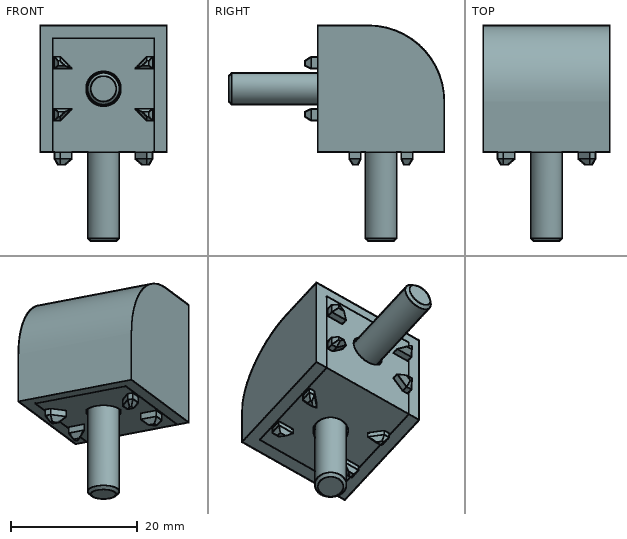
import cadquery as cq


side = 20.0
corner_radius = 12.0
wall = 2.0
face_center = side / 2

overall_length = 34.0
screw_diameter = 5.0
screw_tip_diameter = 4.0
screw_hole_diameter = 5.5
screw_projection = overall_length - side
screw_seat_depth = wall
screw_chamfer = (screw_diameter - screw_tip_diameter) / 2

peg_outer_x = 7.75
peg_near_y = 3.15
peg_far_y = 5.03
peg_long_edge = 2.8
peg_short_edge = 0.95
peg_length = 2.0
peg_straight_length = 1.02
tip_side_inset = 0.6
tip_near_inset = 0.48
tip_far_inset = 0.65
tip_short_edge = 0.3
tip_depth = peg_far_y - peg_near_y - tip_near_inset - tip_far_inset
peg_slant = (peg_long_edge - peg_short_edge) / (peg_far_y - peg_near_y)
tip_long_edge = tip_short_edge + peg_slant * tip_depth

SWAP_Y_AND_Z = (0, 1, -1)


def on_front_face(shape):
    """Return the copy of a bottom-face shape that belongs to the front face."""
    return shape.mirror(SWAP_Y_AND_Z)


def rounded_block(width, depth, radius):
    """Square block from the two joining faces, with its top rear edge rounded."""
    return (
        cq.Workplane("XY")
        .box(width, depth, depth, centered=(True, False, False))
        .edges("|X and >Y and >Z")
        .fillet(radius)
    )


def trapezoid(outer_x, near_y, far_y, long_edge, short_edge):
    """Corners of a trapezoid with a straight outer side and a slanted inner side."""
    return [
        (outer_x, near_y),
        (outer_x, far_y),
        (outer_x - short_edge, far_y),
        (outer_x - long_edge, near_y),
    ]


def peg(x_sign, y_sign):
    """Trapezoidal peg in one quadrant of the bottom face, straight and then tapered."""

    def placed(corners):
        return [(x_sign * x, face_center + y_sign * y) for x, y in corners]

    outline = placed(trapezoid(peg_outer_x, peg_near_y, peg_far_y, peg_long_edge, peg_short_edge))
    tip_outline = placed(
        trapezoid(
            peg_outer_x - tip_side_inset,
            peg_near_y + tip_near_inset,
            peg_far_y - tip_far_inset,
            tip_long_edge,
            tip_short_edge,
        )
    )
    shank = cq.Workplane("XY").polyline(outline).close().extrude(-peg_straight_length)
    tip = (
        cq.Workplane("XY", origin=(0, 0, -peg_straight_length))
        .polyline(outline)
        .close()
        .workplane(offset=peg_straight_length - peg_length)
        .polyline(tip_outline)
        .close()
        .loft(ruled=True)
    )
    return shank.union(tip)


def bottom_screw_hole():
    return (
        cq.Workplane("XY")
        .center(0, face_center)
        .circle(screw_hole_diameter / 2)
        .extrude(screw_seat_depth)
    )


def bottom_screw():
    """Plain screw shank with a chamfered free end."""
    return (
        cq.Workplane("XY", origin=(0, 0, screw_seat_depth))
        .center(0, face_center)
        .circle(screw_diameter / 2)
        .extrude(-(screw_seat_depth + screw_projection))
        .faces("<Z")
        .chamfer(screw_chamfer)
    )


def insert_core():
    """Block that fills the housing, leaving an even wall at the sides, top and rear."""
    return rounded_block(side - 2 * wall, side - wall, corner_radius - wall)


def build_housing():
    return rounded_block(side, side, corner_radius).cut(insert_core())


def build_insert():
    body = insert_core()
    for x_sign in (-1, 1):
        for y_sign in (-1, 1):
            bottom_peg = peg(x_sign, y_sign)
            body = body.union(bottom_peg).union(on_front_face(bottom_peg))
    hole = bottom_screw_hole()
    return body.cut(hole).cut(on_front_face(hole))


housing = build_housing()
insert = build_insert()
screws = []
for screw in (bottom_screw(), on_front_face(bottom_screw())):
    screws.append(screw.val())

result = cq.Compound.makeCompound([housing.val(), insert.val(), *screws])